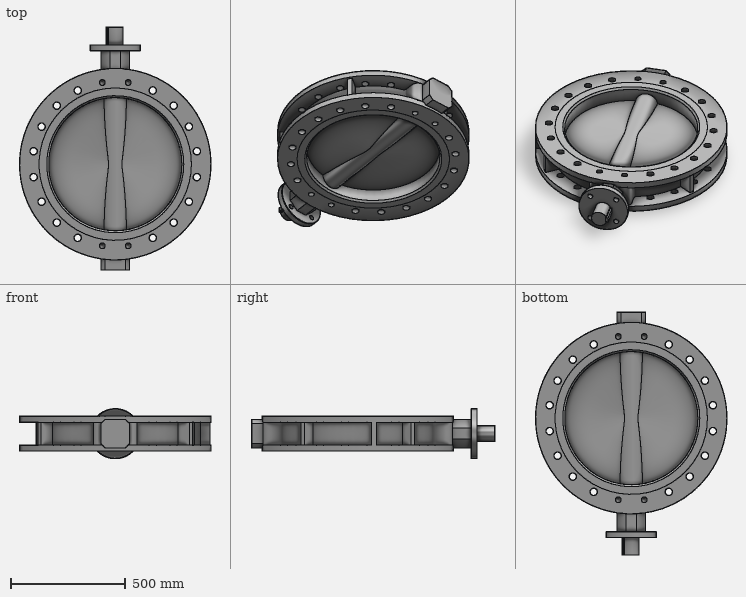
import cadquery as cq
import math


face_to_face = 154.0
flange_radius = 420.0
flange_thickness = 27.0
flange_gap = face_to_face - 2 * flange_thickness
wall_radius = 347.0

bolt_circle_radius = 362.5
bolt_count = 20
bolt_pitch = 360.0 / bolt_count
bolt_hole_diameter = 31.0
tapped_hole_diameter = 25.5
tapped_hole_depth = 45.0
drill_point_angle = 118.0
stem_axis_angles = (90.0, 270.0)

rib_width = 21.0
diagonal_rib_radius = 410.0
diagonal_rib_angle = 2 * bolt_pitch
side_rib_face = 61.0

boss_half_width = 95.0
boss_end = 415.0
boss_corner_radius = 35.0
boss_root_radius = 14.0
neck_width = 126.0
neck_overlap = 10.0
top_neck_chamfer = 39.0
bottom_neck_chamfer = 19.0
bottom_neck_end = 465.0

mount_radius = 110.0
mount_thickness = 27.0
mount_chamfer = 2.0
mount_end = 523.5
mount_start = mount_end - mount_thickness
mount_bolt_circle_radius = 82.5
mount_hole_diameter = 22.0
mount_hole_count = 4

liner_radius = 334.0
seat_radius = 292.0
liner_mouth_radius = 300.5
liner_mouth_depth = 8.5

disc_apex_height = 44.5
disc_rim_height = 9.0
hub_radius = 50.5

shaft_radius = 35.0
shaft_end = 601.0
shaft_bottom = boss_end
key_width = 22.0
key_top = 40.5
key_height = 12.0


def cylinder_along_y(radius, y_start, y_end):
    """A round bar on the Y axis."""
    bar = cq.Workplane("XZ", origin=(0, y_start, 0)).circle(radius)
    return bar.extrude(y_start - y_end)


def flange(z_bottom):
    """One pipe flange, without its holes."""
    return cq.Workplane("XY", origin=(0, 0, z_bottom)).circle(flange_radius).extrude(flange_thickness)


def rib(outer_radius):
    """A radial rib along +X that joins the two flanges outside the ring wall."""
    inner_radius = liner_radius
    length = outer_radius - inner_radius
    bar = cq.Workplane("XY").box(length, rib_width, flange_gap)
    return bar.translate((inner_radius + length / 2, 0, 0))


def side_rib():
    """A rib parallel to X, set off towards +Y and trimmed flush with the flange rims."""
    offset = side_rib_face + rib_width / 2
    rim = cq.Workplane("XY").circle(flange_radius).extrude(flange_gap / 2, both=True)
    return rib(flange_radius).translate((0, offset, 0)).intersect(rim)


def boss():
    """The +Y bearing boss, with rounded outer corners and concave fillets at the ring wall."""
    root_x = boss_half_width + boss_root_radius
    root_y = math.sqrt((wall_radius + boss_root_radius) ** 2 - root_x**2)
    wall_share = wall_radius / (wall_radius + boss_root_radius)
    wall_x = root_x * wall_share
    wall_y = root_y * wall_share
    side_end = boss_end - boss_corner_radius
    corner_x = boss_half_width - boss_corner_radius
    outline = (
        cq.Workplane("XY", origin=(0, 0, -flange_gap / 2))
        .moveTo(-wall_x, wall_y)
        .radiusArc((-boss_half_width, root_y), -boss_root_radius)
        .lineTo(-boss_half_width, side_end)
        .radiusArc((-corner_x, boss_end), boss_corner_radius)
        .lineTo(corner_x, boss_end)
        .radiusArc((boss_half_width, side_end), boss_corner_radius)
        .lineTo(boss_half_width, root_y)
        .radiusArc((wall_x, wall_y), -boss_root_radius)
        .close()
    )
    return outline.extrude(flange_gap)


def neck(length, chamfer):
    """An octagonal neck along +Y, starting just inside the end of the boss."""
    block = cq.Workplane("XY").box(neck_width, length, neck_width)
    block = block.edges("|Y").chamfer(chamfer)
    return block.translate((0, boss_end - neck_overlap + length / 2, 0))


def mount_flange():
    """The round actuator flange, with its bolt holes on the diagonals."""
    plate = cylinder_along_y(mount_radius, mount_start, mount_end)
    plate = plate.faces("<Y").chamfer(mount_chamfer)
    holes = (
        cq.Workplane("XZ", origin=(0, mount_start, 0))
        .polarArray(mount_bolt_circle_radius, 45, 360, mount_hole_count)
        .circle(mount_hole_diameter / 2)
        .extrude(-mount_thickness)
    )
    return plate.cut(holes)


def tapped_hole(angle):
    """A blind hole with a drill point, sunk into the +Z flange face."""
    radius = tapped_hole_diameter / 2
    point_length = radius / math.tan(math.radians(drill_point_angle / 2))
    face = face_to_face / 2
    profile = (
        cq.Workplane("XZ")
        .moveTo(0, face)
        .lineTo(radius, face)
        .lineTo(radius, face - tapped_hole_depth)
        .lineTo(0, face - tapped_hole_depth - point_length)
        .close()
    )
    hole = profile.revolve(360, (0, 0, 0), (0, 1, 0))
    return hole.translate((bolt_circle_radius, 0, 0)).rotate((0, 0, 0), (0, 0, 1), angle)


def cut_bolt_holes(body):
    """Through holes all round, with blind tapped holes beside the stem axis on both faces."""
    for index in range(bolt_count):
        angle = (index + 0.5) * bolt_pitch
        if min(abs(angle - axis) for axis in stem_axis_angles) < bolt_pitch:
            hole = tapped_hole(angle)
            body = body.cut(hole).cut(hole.mirror("XY"))
        else:
            hole = cq.Workplane("XY").circle(bolt_hole_diameter / 2).extrude(face_to_face / 2, both=True)
            hole = hole.translate((bolt_circle_radius, 0, 0))
            body = body.cut(hole.rotate((0, 0, 0), (0, 0, 1), angle))
    return body


def make_housing():
    """Flanges, wall, ribs, bosses and necks, bored for the liner and the shaft."""
    body = cq.Workplane("XY").circle(wall_radius).extrude(flange_gap / 2, both=True)
    body = body.union(flange(flange_gap / 2)).union(flange(-face_to_face / 2))
    diagonal_rib = rib(diagonal_rib_radius)
    for side in (0, 180):
        for tilt in (-diagonal_rib_angle, diagonal_rib_angle):
            body = body.union(diagonal_rib.rotate((0, 0, 0), (0, 0, 1), side + tilt))
    body = body.union(side_rib())
    body = body.union(boss()).union(boss().mirror("XZ"))
    top_neck_length = mount_start - boss_end + neck_overlap
    bottom_neck_length = bottom_neck_end - boss_end + neck_overlap
    body = body.union(neck(top_neck_length, top_neck_chamfer))
    body = body.union(neck(bottom_neck_length, bottom_neck_chamfer).mirror("XZ"))
    body = body.union(mount_flange())
    body = cut_bolt_holes(body)
    liner_bore = cq.Workplane("XY").circle(liner_radius).extrude(face_to_face / 2, both=True)
    return body.cut(liner_bore).cut(shaft_bar())


def shaft_bar():
    """The full round shaft, from the closed lower boss to the drive end."""
    return cylinder_along_y(shaft_radius, -shaft_bottom, shaft_end)


def make_liner():
    """The sleeve inside the housing, its bore widening to a chamfered mouth at each end."""
    half = face_to_face / 2
    profile = (
        cq.Workplane("XZ")
        .moveTo(liner_radius, -half)
        .lineTo(liner_radius, half)
        .lineTo(liner_mouth_radius, half)
        .lineTo(seat_radius, half - liner_mouth_depth)
        .lineTo(seat_radius, -half + liner_mouth_depth)
        .lineTo(liner_mouth_radius, -half)
        .close()
    )
    sleeve = profile.revolve(360, (0, 0, 0), (0, 1, 0))
    return sleeve.cut(shaft_bar())


def make_disc():
    """A double cone that closes the liner bore, with a round hub along the shaft."""
    profile = (
        cq.Workplane("XZ")
        .moveTo(0, -disc_apex_height)
        .lineTo(seat_radius, -disc_rim_height)
        .lineTo(seat_radius, disc_rim_height)
        .lineTo(0, disc_apex_height)
        .close()
    )
    cones = profile.revolve(360, (0, 0, 0), (0, 1, 0))
    bore = cq.Workplane("XY").circle(seat_radius).extrude(hub_radius, both=True)
    hub = cylinder_along_y(hub_radius, -seat_radius, seat_radius).intersect(bore)
    return cones.union(hub).cut(shaft_bar())


def make_key():
    """The drive key on the -X side of the shaft's free end."""
    length = shaft_end - mount_end
    bar = cq.Workplane("XY").box(key_height, length, key_width)
    return bar.translate((key_height / 2 - key_top, mount_end + length / 2, 0))


housing = make_housing()
liner = make_liner()
disc = make_disc()
key = make_key()
shaft = shaft_bar().cut(key)

result = cq.Compound.makeCompound([housing.val(), liner.val(), disc.val(), shaft.val(), key.val()])